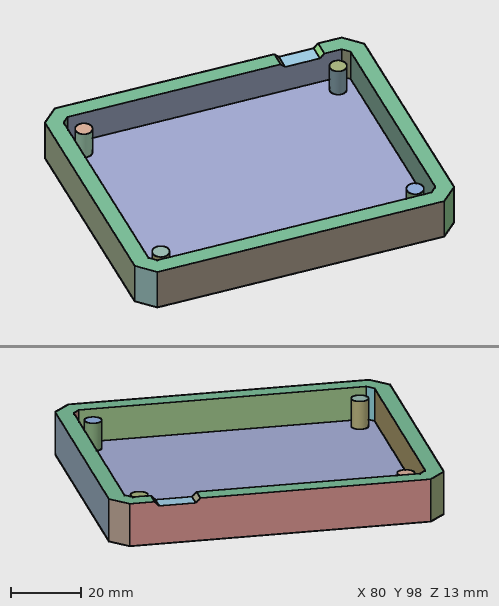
import cadquery as cq

width = 80.0
length = 98.0
height = 13.0
wall = 5.0
outer_chamfer = 5.0
inner_chamfer = 2.0
cavity_depth = 10.0

post_diameter = 5.0
post_height = 8.5
post_inset = 2 * wall

notch_top_width = 13.4
notch_depth = 1.4
notch_slope_run = 1.4
notch_inset = 12.25

floor_thickness = height - cavity_depth


def chamfered_block(size_x, size_y, size_z, corner_chamfer):
    """Block standing on Z = 0 with its four upright edges chamfered."""
    block = cq.Workplane("XY").box(size_x, size_y, size_z, centered=(True, True, False))
    return block.edges("|Z").chamfer(corner_chamfer)


def tray():
    body = chamfered_block(width, length, height, outer_chamfer)
    cavity = chamfered_block(width - 2 * wall, length - 2 * wall, cavity_depth, inner_chamfer)
    return body.cut(cavity.translate((0, 0, floor_thickness)))


def corner_posts():
    return (
        cq.Workplane("XY", origin=(0, 0, floor_thickness))
        .rect(width - 2 * post_inset, length - 2 * post_inset, forConstruction=True)
        .vertices()
        .circle(post_diameter / 2)
        .extrude(post_height)
    )


def rim_notch():
    far_y = length / 2 - notch_inset
    near_y = far_y - notch_top_width
    bottom_z = height - notch_depth
    return (
        cq.Workplane("YZ", origin=(-width / 2, 0, 0))
        .moveTo(near_y, height)
        .lineTo(near_y + notch_slope_run, bottom_z)
        .lineTo(far_y - notch_slope_run, bottom_z)
        .lineTo(far_y, height)
        .close()
        .extrude(wall)
    )


result = tray().cut(rim_notch()).union(corner_posts())